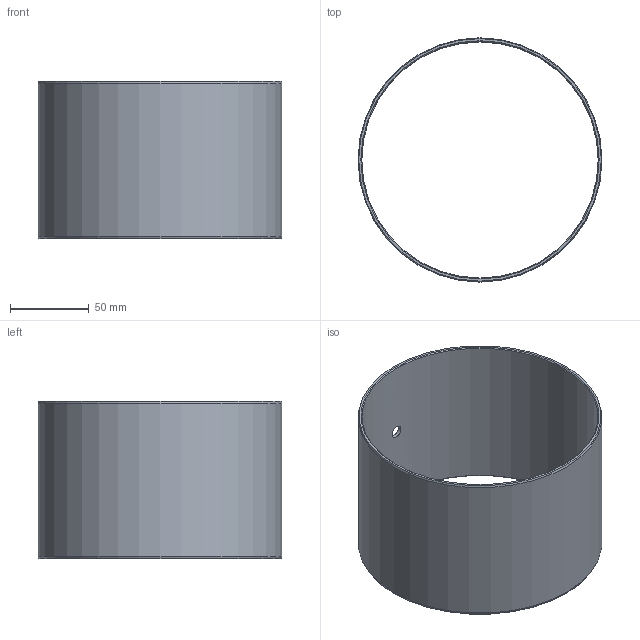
import cadquery as cq
import math

outer_diameter = 155.0
inner_diameter = 150.2
height = 100.0
outer_chamfer_height = 1.2
outer_chamfer_angle = 20.0
inner_chamfer = 0.6
hole_diameter = 8.0

outer_radius = outer_diameter / 2
inner_radius = inner_diameter / 2
outer_chamfer_width = outer_chamfer_height * math.tan(math.radians(outer_chamfer_angle))


def make_sleeve():
    """Thin-walled sleeve around Z, standing on Z = 0, chamfered on all four rims."""
    flat_inner = inner_radius + inner_chamfer
    flat_outer = outer_radius - outer_chamfer_width
    wall_section = [
        (inner_radius, inner_chamfer),
        (flat_inner, 0),
        (flat_outer, 0),
        (outer_radius, outer_chamfer_height),
        (outer_radius, height - outer_chamfer_height),
        (flat_outer, height),
        (flat_inner, height),
        (inner_radius, height - inner_chamfer),
    ]
    return (
        cq.Workplane("YZ")
        .polyline(wall_section)
        .close()
        .revolve(360, (0, 0, 0), (0, 1, 0))
    )


def make_side_hole():
    """Radial drill at mid-height that crosses only the +Y wall."""
    return (
        cq.Workplane("XZ")
        .center(0, height / 2)
        .circle(hole_diameter / 2)
        .extrude(-outer_diameter)
    )


result = make_sleeve().cut(make_side_hole())